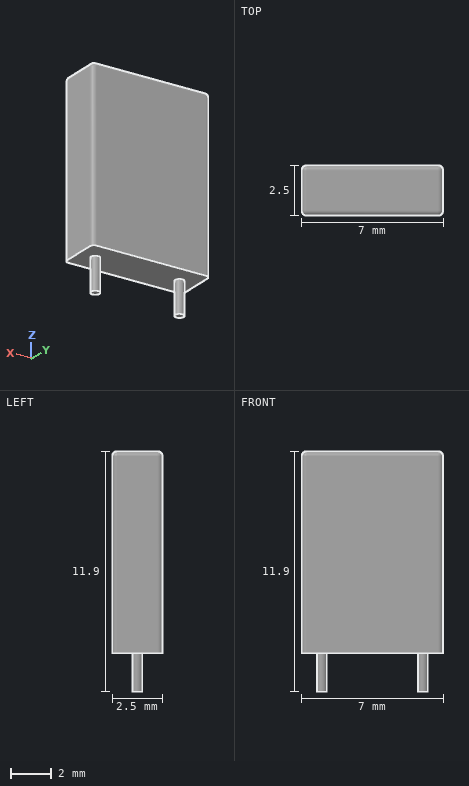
import cadquery as cq

body_length = 7.0
body_width = 2.5
body_height = 10.0
edge_radius = 0.25

lead_diameter = 0.5
lead_pitch = 5.0
lead_length = 1.9


def make_body():
    """Block with rounded vertical and top edges and a sharp bottom rim."""
    block = cq.Workplane("XY").box(
        body_length, body_width, body_height, centered=(True, True, False)
    )
    return block.edges("|Z or >Z").fillet(edge_radius)


def make_leads():
    """Two round leads hanging from the underside, spaced along X."""
    lead_centers = [(-lead_pitch / 2, 0), (lead_pitch / 2, 0)]
    return (
        cq.Workplane("XY")
        .pushPoints(lead_centers)
        .circle(lead_diameter / 2)
        .extrude(-lead_length)
    )


result = make_body().union(make_leads())